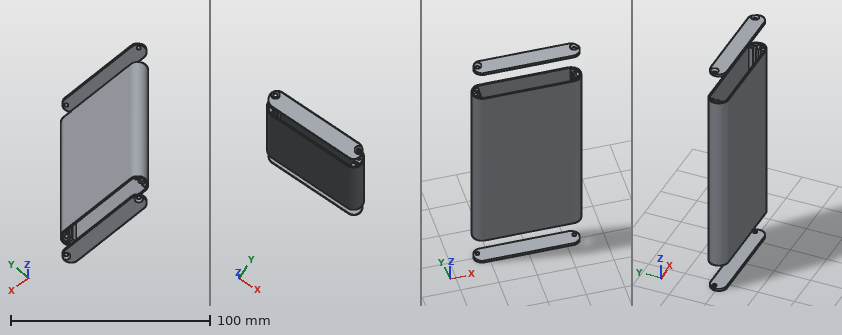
import cadquery as cq

overall_height = 133.7
housing_length = 57.0
housing_width = 10.5
housing_height = 100.0
housing_bottom = 16.2

rim_thickness = 0.8
lid_thickness = 1.5
recess_depth = 1.1
lid_length = housing_length - 2 * rim_thickness
lid_width = housing_width - 2 * rim_thickness

screw_x = 25.3
screw_y = 1.5
screw_diameter = 2.0
countersink_diameter = 4.3
countersink_angle = 90.0

cavity_length = housing_length - 2 * rim_thickness
cavity_width = housing_width - 2 * rim_thickness
boss_face_x = 24.1
boss_height = housing_height - 2 * recess_depth
boss_slot_width = 1.6
groove_y = -1.5
groove_width = 1.2
groove_end_x = 26.7


def stadium(length, width, height, bottom):
    """Upright prism with full-round ends, centred on the Z axis."""
    return cq.Workplane("XY").workplane(offset=bottom).slot2D(length, width).extrude(height)


def boss_block(side):
    """Screw boss filling one round end of the cavity between the lid recesses."""
    bottom = housing_bottom + recess_depth
    end_fill = stadium(cavity_length, cavity_width, boss_height, bottom)
    block_length = housing_length / 2 - boss_face_x

    def block_box(start_x, length, y, width):
        return (
            cq.Workplane("XY")
            .workplane(offset=bottom)
            .center(side * (start_x + length / 2), y)
            .rect(length, width)
            .extrude(boss_height)
        )

    boss = end_fill.intersect(block_box(boss_face_x, block_length, 0, housing_width))
    screw_hole = (
        cq.Workplane("XY")
        .workplane(offset=bottom)
        .center(side * screw_x, screw_y)
        .circle(screw_diameter / 2)
        .extrude(boss_height)
    )
    screw_slot = block_box(boss_face_x, screw_x - boss_face_x, screw_y, boss_slot_width)
    board_groove = block_box(boss_face_x, groove_end_x - boss_face_x, groove_y, groove_width)
    return boss.cut(screw_hole).cut(screw_slot).cut(board_groove)


def make_housing():
    """Open tube with a slotted screw boss in each round end."""
    outside = stadium(housing_length, housing_width, housing_height, housing_bottom)
    cavity = stadium(cavity_length, cavity_width, housing_height, housing_bottom)
    tube = outside.cut(cavity)
    for side in (-1, 1):
        tube = tube.union(boss_block(side))
    return tube


def make_lid(bottom, outer_face):
    """Lid with two screw holes countersunk on its outer face (">Z" or "<Z")."""
    local_y = screw_y if outer_face == ">Z" else -screw_y
    return (
        stadium(lid_length, lid_width, lid_thickness, bottom)
        .faces(outer_face)
        .workplane(origin=(0, 0, 0))
        .pushPoints([(-screw_x, local_y), (screw_x, local_y)])
        .cskHole(screw_diameter, countersink_diameter, countersink_angle)
    )


housing = make_housing()
lid_places = [(0.0, "<Z"), (overall_height - lid_thickness, ">Z")]
lids = [make_lid(bottom, outer_face) for bottom, outer_face in lid_places]

result = cq.Compound.makeCompound([housing.val(), *[lid.val() for lid in lids]])